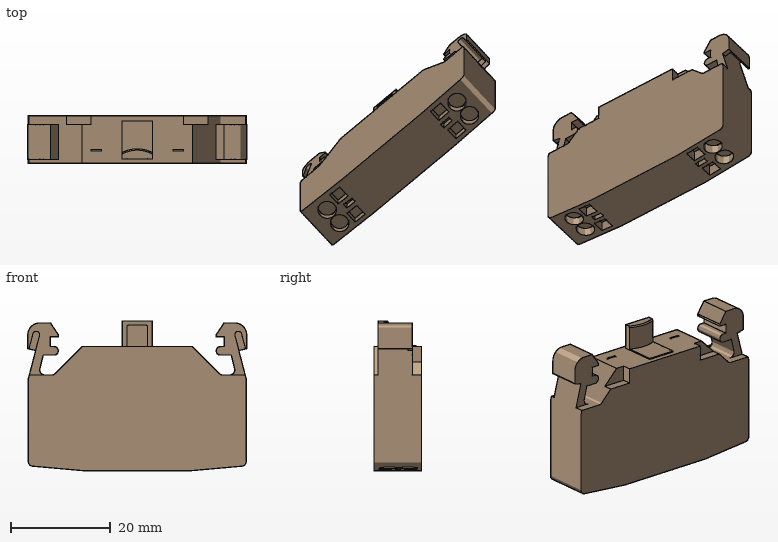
import cadquery as cq
import math

LENGTH = 44.0
DEPTH = 9.6
BODY_HALF = 21.9
ROOF_Z = 25.0
ROOF_HALF = 11.1
SHOULDER_Z = 19.25
SHOULDER_FILLET = 0.8
LEAN_START_Z = 18.45
LEAN = math.tan(math.radians(14.6))
BOTTOM_FLAT_HALF = 10.55
BOTTOM_RISE = 1.0
BOTTOM_CORNER_R = 1.0

COVER_THICKNESS = 0.8
TAB_INNER_X = 7.2
TAB_WIDTH = 2.02
TAB_END_Y = 2.45
TAB_GAP = 0.35
TAB_GAP_DEPTH = 0.45

STEP_X = 9.25
STEP_Z = 21.9
ARM_BACK_Y = 7.75

HOOK_HALF = LENGTH / 2
HOOK_TOP_Z = 29.75
HOOK_RADIUS = 2.4
HOOK_LIP_Z = 24.55
HOOK_UNDERSIDE_Z = 24.15
THROAT_X = 17.42
TIP_X = 15.85
TIP_TOP_Z = 27.35
TIP_BOTTOM_Z = 26.95
NUB_TOP_Z = 25.0
NUB_BOTTOM_Z = 23.25
NECK_X = 18.88
FOOT_X = 19.85
FOOT_END_X = 17.6
FOOT_FILLET = 1.0
SLOT_WIDTH = 1.35
SLOT_TOP_Z = 27.2
SLOT_BACK_Y = 6.8

PLUNGER_TOP_Z = 30.15
PLUNGER_WIDTH = 6.05
PLUNGER_FRONT_Y = 0.9
PLUNGER_SIDE_Y = 2.15
PLUNGER_BACK_Y = 2.9
PLUNGER_CHAMFER = 0.25
WINDOW_WIDTH = 4.15
WINDOW_TOP_Z = 29.25
WINDOW_DEPTH = 1.05
WINDOW_CORNER_R = 0.25
PAD_HEIGHT = 0.2
PAD_BACK_Y = 8.45

WELL_DIAMETER = 3.7
WELL_X = 17.4
WELL_YS = (3.1, 6.85)
WIRE_SLOT_X = 13.5
WIRE_SLOT_LENGTH = 2.65
WIRE_SLOT_WIDTH = 2.5
WIRE_SLOT_YS = (2.25, 7.45)
KEY_SLOT_X = 13.0
KEY_SLOT_LENGTH = 2.2
KEY_SLOT_WIDTH = 0.95
KEY_SLOT_Y = 4.85
OPENING_DEPTH = 2.65


def lean_x(z):
    """X distance of the leaning outer face from the centre at height z."""
    return BODY_HALF - (z - LEAN_START_Z) * LEAN


def box(x0, x1, y0, y1, z0, z1):
    return cq.Workplane("XY").box(x1 - x0, y1 - y0, z1 - z0, centered=False).translate((x0, y0, z0))


def extrude_y(outline, y0, y1):
    """Extrude an XZ outline from y0 to y1."""
    return outline.extrude(y0 - y1).translate((0, y0, 0))


def edge_near(shape, x, y, z):
    """Select the edge whose middle lies nearest the given point."""
    return shape.edges(cq.NearestToPointSelector((x, y, z)))


def both_ends(shape):
    """Join a shape with its mirror image at the opposite end in X."""
    return shape.union(shape.mirror("YZ"))


def make_housing():
    shoulder_x = ROOF_HALF + ROOF_Z - SHOULDER_Z
    right_side = [
        (BOTTOM_FLAT_HALF, 0),
        (BODY_HALF, BOTTOM_RISE),
        (BODY_HALF, LEAN_START_Z),
        (lean_x(SHOULDER_Z), SHOULDER_Z),
        (shoulder_x, SHOULDER_Z),
        (ROOF_HALF, ROOF_Z),
    ]
    left_side = [(-x, z) for x, z in reversed(right_side)]
    housing = extrude_y(cq.Workplane("XZ").polyline(right_side + left_side).close(), 0, DEPTH)
    for x in (-shoulder_x, shoulder_x):
        housing = edge_near(housing, x, DEPTH / 2, SHOULDER_Z).fillet(SHOULDER_FILLET)
    for x in (-BODY_HALF, BODY_HALF):
        housing = edge_near(housing, x, DEPTH / 2, BOTTOM_RISE).fillet(BOTTOM_CORNER_R)
    return housing


def make_back_step():
    return box(STEP_X, BODY_HALF, ARM_BACK_Y, DEPTH, STEP_Z, ROOF_Z)


def make_tab_gap():
    """Narrow gap between the end of a cover tab and the roof."""
    tab_outer_x = TAB_INNER_X + TAB_WIDTH
    return box(TAB_INNER_X, tab_outer_x, TAB_END_Y, TAB_END_Y + TAB_GAP, ROOF_Z - TAB_GAP_DEPTH, ROOF_Z)


def make_arm():
    nub_radius = (NUB_TOP_Z - NUB_BOTTOM_Z) / 2
    nub_x = TIP_X + nub_radius
    bend = HOOK_RADIUS * (1 - math.sqrt(0.5))
    outline = (
        cq.Workplane("XZ")
        .moveTo(BODY_HALF, LEAN_START_Z)
        .lineTo(lean_x(HOOK_UNDERSIDE_Z), HOOK_UNDERSIDE_Z)
        .lineTo(HOOK_HALF, HOOK_LIP_Z)
        .lineTo(HOOK_HALF, HOOK_TOP_Z - HOOK_RADIUS)
        .threePointArc((HOOK_HALF - bend, HOOK_TOP_Z - bend), (HOOK_HALF - HOOK_RADIUS, HOOK_TOP_Z))
        .lineTo(THROAT_X, HOOK_TOP_Z)
        .lineTo(TIP_X, TIP_TOP_Z)
        .lineTo(TIP_X, TIP_BOTTOM_Z)
        .lineTo(THROAT_X, TIP_BOTTOM_Z)
        .lineTo(THROAT_X, NUB_TOP_Z)
        .lineTo(nub_x, NUB_TOP_Z)
        .threePointArc((TIP_X, NUB_TOP_Z - nub_radius), (nub_x, NUB_BOTTOM_Z))
        .lineTo(NECK_X, NUB_BOTTOM_Z)
        .lineTo(FOOT_X, SHOULDER_Z)
        .lineTo(FOOT_END_X, SHOULDER_Z)
        .lineTo(FOOT_END_X, LEAN_START_Z)
        .close()
    )
    arm = extrude_y(outline, COVER_THICKNESS, ARM_BACK_Y)
    arm_middle_y = (COVER_THICKNESS + ARM_BACK_Y) / 2
    arm = edge_near(arm, FOOT_X, arm_middle_y, SHOULDER_Z).fillet(FOOT_FILLET)
    return arm.cut(make_arm_slot())


def make_arm_slot():
    """Round-topped slot along the leaning face, closed at the back by a thin web."""
    angle = math.atan(LEAN)
    across_x, across_z = SLOT_WIDTH * math.cos(angle), SLOT_WIDTH * math.sin(angle)
    inner_x = lean_x(SLOT_TOP_Z)
    top = (
        inner_x + across_x / 2 - across_z / 2,
        SLOT_TOP_Z + across_z / 2 + across_x / 2,
    )
    outline = (
        cq.Workplane("XZ")
        .moveTo(lean_x(LEAN_START_Z), LEAN_START_Z)
        .lineTo(inner_x, SLOT_TOP_Z)
        .threePointArc(top, (inner_x + across_x, SLOT_TOP_Z + across_z))
        .lineTo(lean_x(LEAN_START_Z) + across_x, LEAN_START_Z + across_z)
        .close()
    )
    return extrude_y(outline, COVER_THICKNESS, SLOT_BACK_Y)


def make_plunger():
    half = PLUNGER_WIDTH / 2
    plunger = (
        cq.Workplane("XY", origin=(0, 0, ROOF_Z))
        .moveTo(-half, PLUNGER_FRONT_Y)
        .lineTo(half, PLUNGER_FRONT_Y)
        .lineTo(half, PLUNGER_SIDE_Y)
        .threePointArc((0, PLUNGER_BACK_Y), (-half, PLUNGER_SIDE_Y))
        .close()
        .extrude(PLUNGER_TOP_Z - ROOF_Z)
    )
    plunger = edge_near(plunger, 0, PLUNGER_BACK_Y, PLUNGER_TOP_Z).chamfer(PLUNGER_CHAMFER)
    pad_top = ROOF_Z + PAD_HEIGHT
    window = box(
        -WINDOW_WIDTH / 2, WINDOW_WIDTH / 2,
        PLUNGER_FRONT_Y, PLUNGER_FRONT_Y + WINDOW_DEPTH,
        ROOF_Z, WINDOW_TOP_Z,
    ).edges("|Y and >Z").fillet(WINDOW_CORNER_R)
    pad = box(-half, half, PLUNGER_FRONT_Y, PAD_BACK_Y, ROOF_Z, pad_top)
    return plunger.union(pad).cut(window)


def make_underside_openings():
    """Blind openings entering the sloping underside from below."""
    bottom = cq.Workplane("XY")
    wells = bottom.pushPoints([(WELL_X, y) for y in WELL_YS])
    openings = wells.circle(WELL_DIAMETER / 2).extrude(OPENING_DEPTH)
    slots = bottom.pushPoints([(WIRE_SLOT_X, y) for y in WIRE_SLOT_YS])
    openings = openings.union(slots.rect(WIRE_SLOT_LENGTH, WIRE_SLOT_WIDTH).extrude(OPENING_DEPTH))
    key = bottom.center(KEY_SLOT_X, KEY_SLOT_Y).rect(KEY_SLOT_LENGTH, KEY_SLOT_WIDTH)
    return openings.union(key.extrude(OPENING_DEPTH))


result = make_housing()
for cutter in (make_back_step(), make_tab_gap(), make_underside_openings()):
    result = result.cut(both_ends(cutter))
result = result.union(both_ends(make_arm())).union(make_plunger())